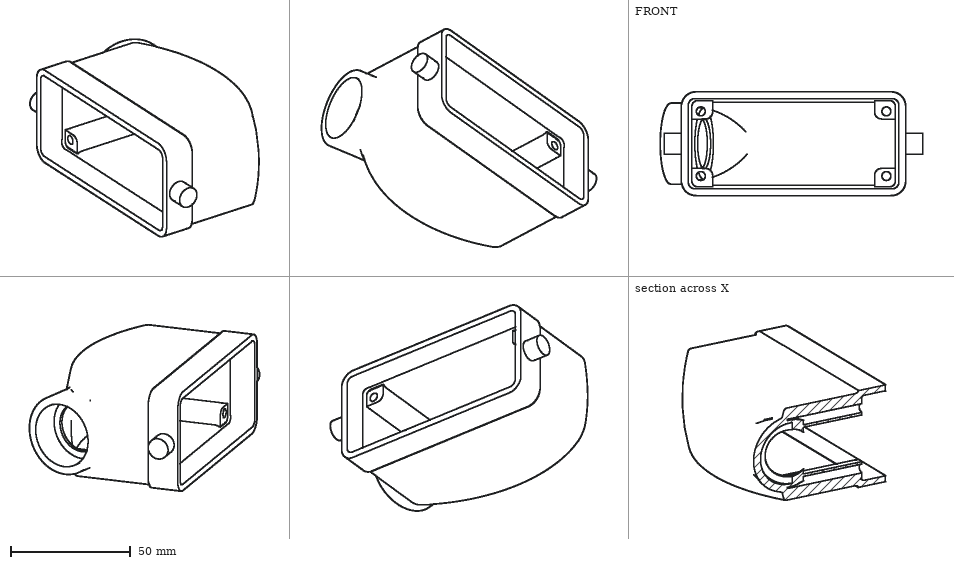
import cadquery as cq
import math


overall_length = 109.7

flange_length = 93.7
flange_width = 43.5
flange_corner = 6.1

flange_step = 1.04
body_length = flange_length - 2 * flange_step
body_width = flange_width - 2 * flange_step
body_corner = 5.6
step_radius = 1.5
step_shelf = 13.2

roof_top = 62.9
roof_radius = 78.6
roof_edge_radius = 1.5
roof_thickness = 2.2
roof_inner_radius = 74.0

mouth_length = 88.0
mouth_width = 37.7
mouth_corner = 3.0
mouth_step = 1.5
chamber_length = mouth_length - 2 * mouth_step
chamber_width = mouth_width - 2 * mouth_step
chamber_corner = 2.4
flare_radius = 4.1
flare_shelf = 10.1

post_base = 11.5
post_half_length = chamber_length / 2
post_half_width = 18.0
post_size_x = 8.7
post_size_z = 7.7
post_inner_corner = 3.0
screw_x = 38.7
screw_z = 13.5
screw_diameter = 3.7

spout_tilt = 15.0
spout_radius = 17.0
spout_wall = 2.0
spout_length = 14.6
spout_rim_radius = 0.49
spout_foot_radius = 0.5
bend_y = 46.2
bend_radius = 79.0
bore_diameter = 27.0
seat_thickness = 1.4
seat_hole_diameter = 21.0

peg_diameter = 8.9
peg_length = 7.1
peg_y = 6.0

tilt = math.radians(spout_tilt)

peg_tip_x = flange_length / 2 + peg_length
rim_centre_reach = (spout_length - spout_rim_radius) * math.cos(tilt)
rim_edge_reach = (spout_radius - spout_rim_radius) * math.sin(tilt) + spout_rim_radius
bend_x = peg_tip_x - overall_length + rim_centre_reach + rim_edge_reach

duct_radius = spout_radius - spout_wall


def rounded_prism(length, width, corner, height):
    """Rounded rectangle in XZ, raised along +Y from the rim plane."""
    prism = cq.Workplane("XZ").rect(length, width).extrude(-height)
    return prism.edges("|Y").fillet(corner)


def roof_ball(top, radius):
    """Ball whose highest point in Y is at the given height."""
    return cq.Workplane("XY").sphere(radius).translate((0, top - radius, 0))


def blend_to_base(column, length, width, corner, shelf, radius):
    """Stand the column on a base of the given outline, with a concave arc cut short by that outline."""
    base = rounded_prism(length + 2 * radius, width + 2 * radius, corner + radius, shelf)
    blended = column.union(base)
    column_box = column.val().BoundingBox()
    margin = radius / 10
    foot = cq.selectors.BoxSelector(
        (column_box.xmin - margin, shelf - margin, column_box.zmin - margin),
        (column_box.xmax + margin, shelf + margin, column_box.zmax + margin),
        boundingbox=True,
    )
    blended = blended.edges(foot).fillet(radius)
    return blended.intersect(rounded_prism(length, width, corner, roof_top))


def spout_plane(distance):
    """Plane across the spout axis, a distance outward from the start of the bend, facing inward."""
    origin = (bend_x - distance * math.cos(tilt), bend_y + distance * math.sin(tilt), 0)
    return cq.Plane(origin=origin, xDir=(0, 0, 1), normal=(math.cos(tilt), -math.sin(tilt), 0))


def elbow(radius):
    """Round bend from the spout axis to the X direction."""
    bend_axis = ((0, -bend_radius), (1, -bend_radius))
    return cq.Workplane(spout_plane(0)).circle(radius).revolve(spout_tilt, *bend_axis)


def outer_shell():
    block = rounded_prism(body_length, body_width, body_corner, roof_top)
    block = block.intersect(roof_ball(roof_top, roof_radius))
    block = block.faces("%SPHERE").edges().fillet(roof_edge_radius)
    return blend_to_base(block, flange_length, flange_width, flange_corner, step_shelf, step_radius)


def spout_outside():
    pipe = cq.Workplane(spout_plane(spout_length)).circle(spout_radius).extrude(spout_length)
    pipe = pipe.edges("%CIRCLE").edges("<X").fillet(spout_rim_radius)
    return pipe.union(elbow(spout_radius))


def cavity():
    chamber = rounded_prism(chamber_length, chamber_width, chamber_corner, roof_top)
    chamber = chamber.intersect(roof_ball(roof_top - roof_thickness, roof_inner_radius))
    return blend_to_base(chamber, mouth_length, mouth_width, mouth_corner, flare_shelf, flare_radius)


def screw_posts(space):
    """Four drilled corner posts that reach up to the roof of the given space."""
    height = roof_top - post_base
    posts = cq.Workplane("XY")
    for x_side in (-1, 1):
        for z_side in (-1, 1):
            x_centre = x_side * (post_half_length - post_size_x / 2)
            z_centre = z_side * (post_half_width - post_size_z / 2)
            post = cq.Workplane("XY").box(post_size_x, height, post_size_z)
            post = post.translate((x_centre, post_base + height / 2, z_centre))
            outer_corner = (x_side * post_half_length, post_base + height / 2, z_side * post_half_width)
            inner_edge = cq.selectors.NearestToPointSelector((0, post_base + height / 2, 0))
            outer_edge = cq.selectors.NearestToPointSelector(outer_corner)
            post = post.edges("|Y").edges(inner_edge).fillet(post_inner_corner)
            post = post.edges("|Y").edges(outer_edge).fillet(chamber_corner)
            hole = cq.Workplane("XZ").center(x_side * screw_x, z_side * screw_z)
            hole = hole.circle(screw_diameter / 2).extrude(-roof_top)
            posts = posts.union(post.cut(hole))
    return posts.intersect(space)


def make_housing():
    space = cavity()
    housing = outer_shell().union(spout_outside())
    housing = housing.edges("%ELLIPSE").edges("<X").fillet(spout_foot_radius)
    housing = housing.cut(space).cut(elbow(duct_radius))
    housing = housing.union(screw_posts(space))
    plug = cq.Workplane(spout_plane(spout_length)).circle(duct_radius).extrude(spout_length)
    housing = housing.union(plug)
    bore_depth = spout_length - seat_thickness
    bore = cq.Workplane(spout_plane(spout_length)).circle(bore_diameter / 2).extrude(bore_depth)
    seat_hole = cq.Workplane(spout_plane(spout_length)).circle(seat_hole_diameter / 2).extrude(spout_length)
    return housing.cut(bore).cut(seat_hole).solids()


def make_peg(side):
    start = cq.Workplane("YZ").workplane(offset=side * flange_length / 2).center(peg_y, 0)
    return start.circle(peg_diameter / 2).extrude(side * peg_length)


housing = make_housing()
pegs = [make_peg(side) for side in (-1, 1)]

result = cq.Compound.makeCompound([housing.val(), *[peg.val() for peg in pegs]])